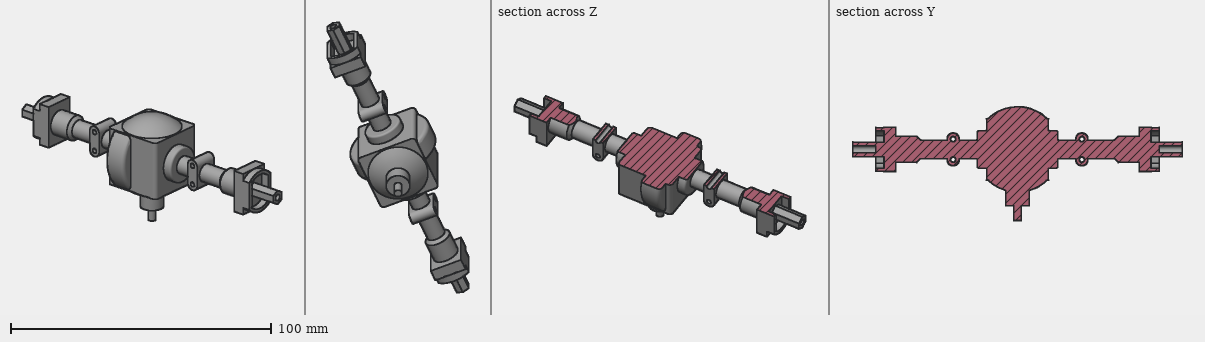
import cadquery as cq
import math

axle_length = 126.8
half_axle = axle_length / 2

block_width = 24.0
block_height = 23.6
block_edge_radius = 1.5
ball_diameter = 33.0

cover_diameter = ball_diameter
cover_left_x = -9.5
cover_right_x = -0.5
cover_edge_radius = 1.5

collar_diameter = 14.6
collar_end_x = 15.6
collar_edge_radius = 0.8

neck_diameter = 9.1
neck_bottom_z = -21.7
input_diameter = 3.0
input_bottom_z = -27.4

tube_diameter = 7.4
sleeve_diameter = 10.1
sleeve_start_x = 37.3
sleeve_taper = (sleeve_diameter - tube_diameter) / 2

bracket_x = 24.7
bracket_width = 4.7
bracket_height = 12.7
bracket_depth = 10.1
bracket_hole_diameter = 1.9
bracket_hole_spacing = 7.9

plate_inner_x = 46.8
plate_outer_x = 51.4
rim_outer_x = 54.5
plate_width = 12.7
plate_height = 17.1
rim_diameter = 17.0
recess_width = 9.5
recess_diameter = 14.2

hex_across_flats = 5.1
hex_across_corners = hex_across_flats / math.cos(math.pi / 6)
stub_hole_diameter = 2.5
stub_hole_depth = half_axle - rim_outer_x


def section_at(x):
    """Sketch plane across the axle: local x is +Y, local y is +Z, normal is +X."""
    return cq.Workplane("YZ", origin=(x, 0, 0))


def rod(diameter, start_x, end_x):
    """Round bar on the axle axis."""
    return section_at(start_x).circle(diameter / 2).extrude(end_x - start_x)


def flat_sided_disc(diameter, width, start_x, end_x):
    """Disc on the axle axis with its +Y and -Y sides cut flat."""
    length = end_x - start_x
    slab = section_at(start_x).rect(width, diameter).extrude(length)
    return rod(diameter, start_x, end_x).intersect(slab)


def housing():
    block = cq.Workplane("XY").box(block_width, block_width, block_height)
    block = block.edges("|Z").fillet(block_edge_radius)
    ball = cq.Workplane("XY").sphere(ball_diameter / 2)
    column = cq.Workplane("XY").cylinder(ball_diameter, block_width / 2)
    cover = rod(cover_diameter, cover_left_x, cover_right_x).edges().fillet(cover_edge_radius)
    cover_band = cq.Workplane("XY").box(axle_length, cover_diameter, block_height)
    return block.union(ball.intersect(column)).union(cover.intersect(cover_band))


def input_shaft():
    neck = cq.Workplane("XY").circle(neck_diameter / 2).extrude(neck_bottom_z)
    shaft = cq.Workplane("XY").circle(input_diameter / 2).extrude(input_bottom_z)
    return neck.union(shaft)


def link_bracket():
    plane = cq.Workplane("XZ", origin=(bracket_x, 0, 0))
    return plane.slot2D(bracket_height, bracket_width, 90).extrude(bracket_depth / 2, both=True)


def bracket_holes():
    plane = cq.Workplane("XZ", origin=(bracket_x, 0, 0))
    centres = plane.rarray(1.3, bracket_hole_spacing, 1, 2)
    return centres.circle(bracket_hole_diameter / 2).extrude(bracket_depth / 2, both=True)


def knuckle():
    plate = section_at(plate_inner_x).rect(plate_width, plate_height).extrude(plate_outer_x - plate_inner_x)
    rim = flat_sided_disc(rim_diameter, plate_width, plate_outer_x, rim_outer_x)
    recess = flat_sided_disc(recess_diameter, recess_width, plate_outer_x, rim_outer_x)
    return plate.union(rim.cut(recess))


def wheel_stub():
    start_x = plate_inner_x
    hexagon = section_at(start_x).transformed(rotate=(0, 0, 90)).polygon(6, hex_across_corners)
    stub = hexagon.extrude(half_axle - start_x)
    return stub.cut(rod(stub_hole_diameter, half_axle - stub_hole_depth, half_axle))


def axle_half():
    """Everything on the +X side of the housing."""
    collar = rod(collar_diameter, 0, collar_end_x).faces(">X").edges().fillet(collar_edge_radius)
    tube = rod(tube_diameter, 0, plate_inner_x)
    sleeve = rod(sleeve_diameter, sleeve_start_x, plate_inner_x)
    sleeve = sleeve.faces("<X").chamfer(sleeve_taper)
    half = collar.union(tube).union(sleeve)
    half = half.union(link_bracket()).union(knuckle()).union(wheel_stub())
    return half.cut(bracket_holes())


right_half = axle_half()
left_half = right_half.mirror("YZ")
result = housing().union(input_shaft()).union(right_half).union(left_half)